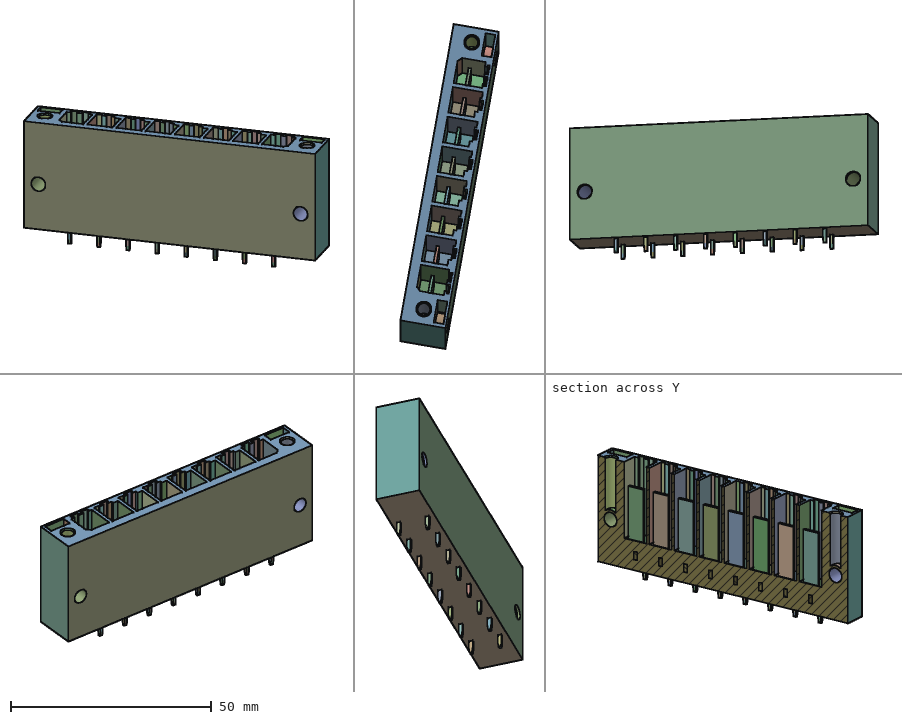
import cadquery as cq
import math


pitch = 7.62
contact_count = 8
contact_centers = [(i - (contact_count - 1) / 2) * pitch for i in range(contact_count)]

housing_length = (contact_count + 2) * pitch
housing_width = 11.4
housing_height = 28.3
back_face = housing_width / 2

chamber_floor = 8.0
chamber_depth = housing_height - chamber_floor
half_chamber = 3.3
chamber_front = -3.1
shoulder_low = 3.4
shoulder_left_end = 3.85
shoulder_mid = 4.08
shoulder_high = 4.5
chamber_back = 5.0
end_chamfer = 1.0

key_neck = 0.65
key_head = 1.2
key_shoulder = 1.85

tongue_neck = 0.35
tongue_foot = 0.75
end_key_near = 2.2
end_key_far = 2.65

mount_x = (contact_count + 1) / 2 * pitch
mount_z = 12.0
cross_hole_diameter = 3.7
sleeve_diameter = 5.3
sleeve_back = 4.7
end_slot_length = 5.75
end_slot_front = 2.55
end_slot_back = 5.0
end_slot_center_floor = mount_z - 0.5
end_slot_floor_angle = 20.0
screw_hole_y = -0.43
screw_hole_diameter = 3.1
screw_hole_chamfer = 0.35

blade_width = 4.5
blade_thickness = 0.75
blade_y = 0.05
blade_top = 22.0
bar_bottom = 3.0
bar_height = 2.0
pin_spacing = pitch
pin_width = 0.8
pin_depth = 0.95
pin_length = 3.5
tip_length = 1.25
tip_depth = 0.6


def middle_chamber_outline():
    return [
        (-half_chamber, chamber_front),
        (-half_chamber, shoulder_high),
        (-key_shoulder, shoulder_high),
        (-key_shoulder, shoulder_mid),
        (-key_neck, shoulder_mid),
        (-key_neck, shoulder_high),
        (-key_head, shoulder_high),
        (-key_head, chamber_back),
        (key_head, chamber_back),
        (key_head, shoulder_high),
        (key_neck, shoulder_high),
        (key_neck, shoulder_mid),
        (key_shoulder, shoulder_mid),
        (key_shoulder, shoulder_low),
        (half_chamber, shoulder_low),
        (half_chamber, chamber_front),
    ]


def end_chamber_outline():
    """Outline of the leftmost chamber; the rightmost one is its mirror image."""
    return [
        (-half_chamber + end_chamfer, chamber_front),
        (-half_chamber, chamber_front + end_chamfer),
        (-half_chamber, shoulder_left_end),
        (-end_key_near, shoulder_left_end),
        (-end_key_near, shoulder_high),
        (-end_key_far, shoulder_high),
        (-end_key_far, chamber_back),
        (-tongue_neck, chamber_back),
        (-tongue_neck, shoulder_high),
        (-tongue_foot, shoulder_high),
        (-tongue_foot, shoulder_mid),
        (tongue_foot, shoulder_mid),
        (tongue_foot, shoulder_high),
        (tongue_neck, shoulder_high),
        (tongue_neck, chamber_back),
        (end_key_far, chamber_back),
        (end_key_far, shoulder_high),
        (end_key_near, shoulder_high),
        (end_key_near, shoulder_mid),
        (half_chamber, shoulder_mid),
        (half_chamber, chamber_front),
    ]


def chamber(outline):
    return cq.Workplane("XY").workplane(offset=chamber_floor).polyline(outline).close().extrude(chamber_depth)


def box_between(x_size, y_start, y_end, z_start, z_end):
    """Box centred on X = 0 between the given Y and Z limits."""
    return (
        cq.Workplane("XY")
        .box(x_size, y_end - y_start, z_end - z_start, centered=(True, False, False))
        .translate((0, y_start, z_start))
    )


def cylinder_along_y(diameter, y_start, y_end):
    """Cylinder on the mounting axis, running along Y."""
    return (
        cq.Workplane("XZ", origin=(0, y_start, mount_z))
        .circle(diameter / 2)
        .extrude(y_start - y_end)
    )


def screw_hole():
    """Vertical hole from the top down onto the sleeve, with a chamfered mouth."""
    return (
        cq.Workplane("XY", origin=(0, screw_hole_y, mount_z))
        .circle(screw_hole_diameter / 2)
        .extrude(housing_height - mount_z)
        .union(
            cq.Workplane("XY", origin=(0, screw_hole_y, housing_height))
            .circle(screw_hole_diameter / 2 + screw_hole_chamfer)
            .workplane(offset=-screw_hole_chamfer)
            .circle(screw_hole_diameter / 2)
            .loft()
        )
    )


def end_slot():
    """Slot open at the top, whose sloping floor falls towards -X."""
    half_length = end_slot_length / 2
    floor_drop = half_length * math.tan(math.radians(end_slot_floor_angle))
    return (
        cq.Workplane("XZ", origin=(0, end_slot_back, 0))
        .moveTo(-half_length, end_slot_center_floor - floor_drop)
        .lineTo(half_length, end_slot_center_floor + floor_drop)
        .lineTo(half_length, housing_height)
        .lineTo(-half_length, housing_height)
        .close()
        .extrude(end_slot_back - end_slot_front)
    )


def mount_cutout():
    """Everything removed at the left end of the housing, centred on X = 0.

    A round sleeve is left around the cross hole; it rises from the slot floor and closes the screw hole.
    """
    sleeve = cylinder_along_y(sleeve_diameter, -back_face, sleeve_back)
    cross_hole = cylinder_along_y(cross_hole_diameter, -back_face, back_face)
    return end_slot().union(screw_hole()).cut(sleeve).union(cross_hole)


def solder_pin(y_center):
    """Rectangular pin below the foot bar, tapering in Y at its tip."""
    shank_bottom = tip_length - pin_length
    half_depth = pin_depth / 2
    return (
        cq.Workplane("YZ", origin=(-pin_width / 2, y_center, 0))
        .moveTo(-half_depth, bar_bottom)
        .lineTo(-half_depth, shank_bottom)
        .lineTo(-tip_depth / 2, -pin_length)
        .lineTo(tip_depth / 2, -pin_length)
        .lineTo(half_depth, shank_bottom)
        .lineTo(half_depth, bar_bottom)
        .close()
        .extrude(pin_width)
    )


def make_contact(x_center):
    bar_half_length = (pin_spacing + pin_depth) / 2
    bar_top = bar_bottom + bar_height
    bar = box_between(pin_width, -bar_half_length, bar_half_length, bar_bottom, bar_top)
    blade_front = blade_y - blade_thickness / 2
    blade = box_between(blade_width, blade_front, blade_front + blade_thickness, bar_bottom, blade_top)
    contact = bar.union(blade)
    for side in (-1, 1):
        contact = contact.union(solder_pin(side * pin_spacing / 2))
    return contact.translate((x_center, 0, 0))


def make_housing(contacts):
    housing = cq.Workplane("XY").box(
        housing_length, housing_width, housing_height, centered=(True, True, False)
    )
    for x_center in contact_centers[1:-1]:
        housing = housing.cut(chamber(middle_chamber_outline()).translate((x_center, 0, 0)))
    end_chamber = chamber(end_chamber_outline()).translate((contact_centers[0], 0, 0))
    housing = housing.cut(end_chamber).cut(end_chamber.mirror("YZ"))
    left_mount = mount_cutout().translate((-mount_x, 0, 0))
    housing = housing.cut(left_mount).cut(left_mount.mirror("YZ"))
    for contact in contacts:
        housing = housing.cut(contact)
    return housing


contacts = [make_contact(x_center) for x_center in contact_centers]
housing = make_housing(contacts)

result = cq.Compound.makeCompound([housing.val(), *[contact.val() for contact in contacts]])